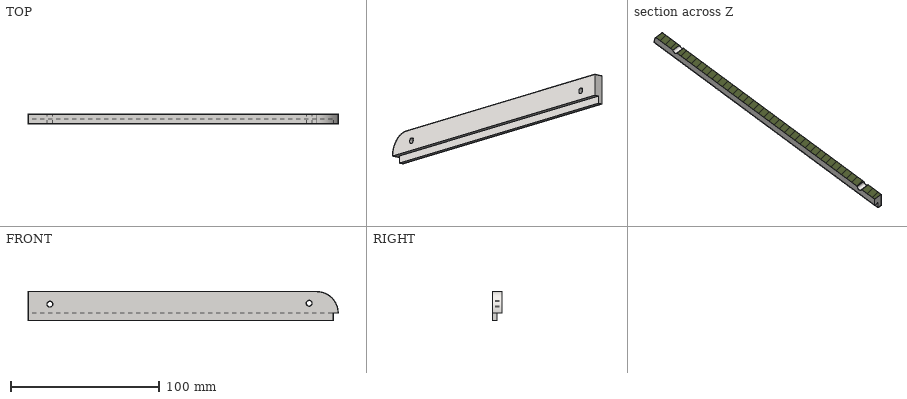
import cadquery as cq
import math

length = 209.5
thickness = 6.5
height = 19.7

end_radius = 14.7

lip_height = height - end_radius
lip_thickness = 3.1
end_step_length = 3.4

hole_diameter = 3.8
left_hole_x = 14.7
left_hole_z = 11.0
right_hole_x = 189.7
right_hole_z = 11.7


def make_body():
    """Upper body with a quarter-round end, at full thickness."""
    arc_start_x = length - end_radius
    arc_offset = end_radius * math.sqrt(0.5)
    return (
        cq.Workplane("XZ")
        .moveTo(0, lip_height)
        .lineTo(length, lip_height)
        .threePointArc((arc_start_x + arc_offset, lip_height + arc_offset), (arc_start_x, height))
        .lineTo(0, height)
        .close()
        .extrude(-thickness)
    )


def make_lip():
    """Thin lip under the front of the body, short of the rounded end."""
    return cq.Workplane("XY").box(
        length - end_step_length, lip_thickness, lip_height, centered=False
    )


def make_hole(x, z):
    """Cutter running through the thickness along +Y."""
    axis = cq.Vector(0, 1, 0)
    return cq.Solid.makeCylinder(hole_diameter / 2, thickness, cq.Vector(x, 0, z), axis)


result = make_body().union(make_lip())
for hole_x, hole_z in ((left_hole_x, left_hole_z), (right_hole_x, right_hole_z)):
    result = result.cut(make_hole(hole_x, hole_z))